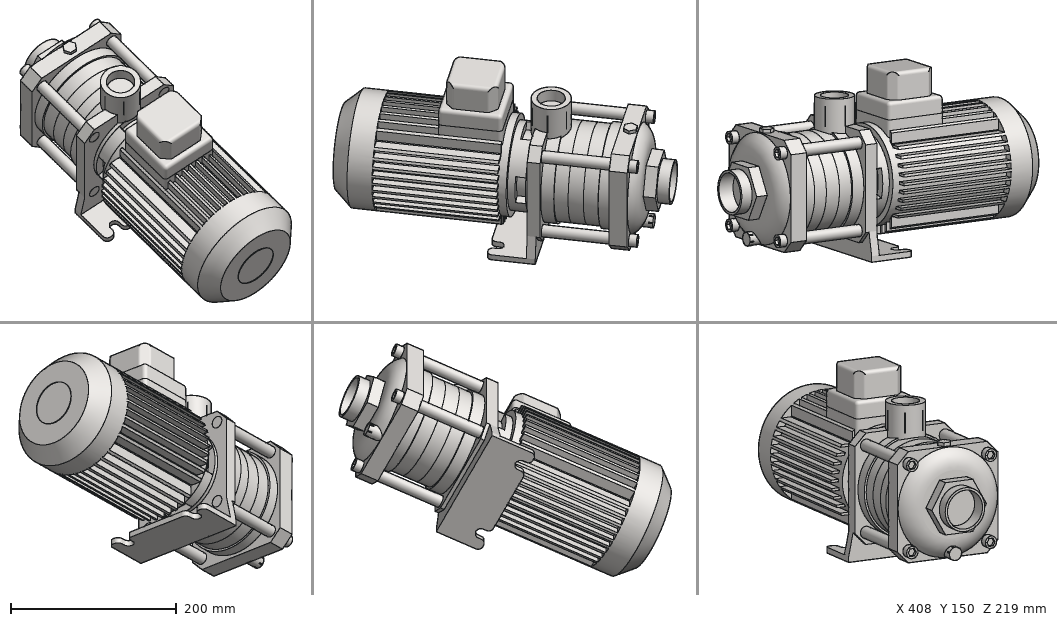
import cadquery as cq
import math


INLET_END = 0.0
INLET_HEX_START = 14.5
DOME_START = 29.8
INLET_PLATE_START = 43.2
INLET_PLATE_END = 65.5
INLET_RING_END = 80.0
FIRST_SEAM = 98.5
SECOND_SEAM = 117.0
OUTLET_RING_START = 134.0
OUTLET_PLATE_START = 150.0
OUTLET_PLATE_END = 166.0
MOTOR_SEAM = 171.0
WINDOW_END = 183.5
MOTOR_FLANGE_START = 193.0
FIN_START = 202.7
FIN_END = 355.5
COWL_TAPER_START = 386.3
COWL_END = 407.0
MOTOR_END = 408.0

STAGE_DIAMETER = 125.0
END_RING_DIAMETER = 130.0
SPIGOT_DIAMETER = 110.0
PLATE_SIDE = 138.3
PLATE_CHAMFER = 15.0

NIPPLE_DIAMETER = 54.3
INLET_BORE = 48.0
INLET_BORE_DEPTH = 20.0
INLET_HEX_FLATS = 65.0
DOME_FLAT_RADIUS = 42.5
DOME_ARC_RADIUS = 31.5

PORT_X = 149.5
PORT_DIAMETER = 48.5
PORT_BORE = 34.0
PORT_BORE_DEPTH = 15.5
PORT_TOP = 103.0
PORT_HEX_TOP = 94.0
PORT_HEX_CORNERS = 49.0

PLUG_HEX_CORNERS = 17.5
VENT_X = 52.5
VENT_HEIGHT = 4.5
DRAIN_START = 23.5
DRAIN_HEX_HEIGHT = 5.5
DRAIN_DROP = 60.0
DRAIN_COLLAR_DIAMETER = 16.7
DRAIN_TURN = 15.0

BOLT_SPACING = 108.0
ROD_DIAMETER = 15.0
BOLT_HEAD_DIAMETER = 15.5
BOLT_HEAD_START = 33.5
SOCKET_CORNERS = 11.0
SOCKET_DEPTH = 4.0

FOOT_START = 155.0
FOOT_END = 214.5
FOOT_WIDTH = 150.0
FOOT_BOTTOM = -90.0
FOOT_THICKNESS = 7.5
FOOT_SLOT_WIDTH = 13.5
FOOT_SLOT_SPACING = 106.5
FOOT_SLOT_DEPTH = 17.0
FOOT_ROUND = 6.5

MOTOR_DIAMETER = 146.0
CORE_DIAMETER = 126.0
FIN_THICKNESS = 3.3
FIN_PITCH = 10.5
FINS_PER_SIDE = 9
COWL_END_DIAMETER = 108.5
END_DISC_DIAMETER = 54.3
WINDOW_COUNT = 4
WINDOW_HALF_ANGLE = 20.0
WINDOW_FLOOR_RADIUS = 45.0

BOX_END = 281.5
BOX_WIDTH = 76.5
BOX_ROUND = 5.0
BOX_SEAM = MOTOR_DIAMETER / 2
BOX_TOP = 94.5
CAP_START = 210.5
CAP_END = 274.0
CAP_WIDTH = 65.0
CAP_TOP = 129.0
CAP_CHAMFER = 9.8
CAP_EDGE_ROUND = 3.5


def shaft_plane(x, turn=0.0):
    """Plane across the shaft, with local x along +Y and local y along +Z."""
    return cq.Workplane("YZ", origin=(x, 0, 0)).transformed(rotate=(0, 0, turn))


def disc(start, end, diameter):
    return shaft_plane(start).circle(diameter / 2).extrude(end - start)


def end_plate(start, end):
    plate = shaft_plane(start).rect(PLATE_SIDE, PLATE_SIDE).extrude(end - start)
    return plate.edges("|X").chamfer(PLATE_CHAMFER)


def bolt_points(plane):
    return plane.rect(BOLT_SPACING, BOLT_SPACING, forConstruction=True).vertices()


def rod_holes(start, end):
    return bolt_points(shaft_plane(start)).circle(ROD_DIAMETER / 2).extrude(end - start)



def dome():
    depth = INLET_PLATE_START - DOME_START
    rise = math.sqrt(DOME_ARC_RADIUS**2 - (DOME_ARC_RADIUS - depth) ** 2)
    half_angle = math.asin(rise / DOME_ARC_RADIUS) / 2
    middle = (
        DOME_START + DOME_ARC_RADIUS * (1 - math.cos(half_angle)),
        DOME_FLAT_RADIUS + DOME_ARC_RADIUS * math.sin(half_angle),
    )
    profile = (
        cq.Workplane("XY")
        .moveTo(DOME_START, 0)
        .lineTo(DOME_START, DOME_FLAT_RADIUS)
        .threePointArc(middle, (INLET_PLATE_START, DOME_FLAT_RADIUS + rise))
        .lineTo(INLET_PLATE_START, 0)
        .close()
    )
    return profile.revolve(360, (0, 0, 0), (1, 0, 0))


def inlet_nipple():
    hexagon_corners = INLET_HEX_FLATS / math.cos(math.pi / 6)
    hexagon = (
        shaft_plane(INLET_HEX_START)
        .polygon(6, hexagon_corners)
        .extrude(DOME_START - INLET_HEX_START)
    )
    return disc(INLET_END, INLET_HEX_START, NIPPLE_DIAMETER).union(hexagon)


def vent_plug():
    return (
        cq.Workplane("XY", origin=(VENT_X, 0, PLATE_SIDE / 2))
        .transformed(rotate=(0, 0, 90))
        .polygon(6, PLUG_HEX_CORNERS)
        .extrude(VENT_HEIGHT)
    )


def drain_plug():
    hexagon = shaft_plane(DRAIN_START, DRAIN_TURN).polygon(6, PLUG_HEX_CORNERS).extrude(DRAIN_HEX_HEIGHT)
    collar = disc(DRAIN_START, INLET_PLATE_START, DRAIN_COLLAR_DIAMETER)
    return hexagon.union(collar).translate((0, 0, -DRAIN_DROP))


def make_inlet_head():
    head = (
        end_plate(INLET_PLATE_START, INLET_PLATE_END)
        .union(dome())
        .union(inlet_nipple())
        .union(vent_plug())
        .union(drain_plug())
        .union(disc(INLET_PLATE_END, INLET_RING_END, END_RING_DIAMETER))
        .union(disc(INLET_RING_END, FIRST_SEAM, STAGE_DIAMETER))
    )
    bore = disc(INLET_END, INLET_END + INLET_BORE_DEPTH, INLET_BORE)
    return head.cut(bore).cut(rod_holes(INLET_PLATE_START, INLET_PLATE_END))



def make_middle_stage():
    return disc(FIRST_SEAM, SECOND_SEAM, STAGE_DIAMETER)



def outlet_port():
    """Upright pipe with a hexagon on its lower half, rising from the shaft axis and clear of the lantern."""
    hexagon = (
        cq.Workplane("XY", origin=(PORT_X, 0, PLATE_SIDE / 2))
        .transformed(rotate=(0, 0, 30))
        .polygon(6, PORT_HEX_CORNERS)
        .extrude(PORT_HEX_TOP - PLATE_SIDE / 2)
    )
    pipe = cq.Workplane("XY", origin=(PORT_X, 0, 0)).circle(PORT_DIAMETER / 2).extrude(PORT_TOP)
    lantern_clearance = disc(MOTOR_SEAM, MOTOR_FLANGE_START, SPIGOT_DIAMETER)
    return pipe.union(hexagon).cut(lantern_clearance)


def foot():
    base_top = FOOT_BOTTOM + FOOT_THICKNESS
    shoulder = -(PLATE_SIDE / 2 - PLATE_CHAMFER)
    web = (
        shaft_plane(FOOT_START)
        .polyline([
            (-PLATE_SIDE / 2, shoulder),
            (PLATE_SIDE / 2, shoulder),
            (FOOT_WIDTH / 2, base_top),
            (-FOOT_WIDTH / 2, base_top),
        ])
        .close()
        .extrude(OUTLET_PLATE_END - FOOT_START)
    )
    base = (
        cq.Workplane("XY", origin=(FOOT_START, 0, FOOT_BOTTOM))
        .box(FOOT_END - FOOT_START, FOOT_WIDTH, FOOT_THICKNESS, centered=(False, True, False))
    )
    slots = (
        cq.Workplane("XY", origin=(FOOT_END, 0, FOOT_BOTTOM))
        .pushPoints([(0, -FOOT_SLOT_SPACING / 2), (0, FOOT_SLOT_SPACING / 2)])
        .slot2D(2 * FOOT_SLOT_DEPTH, FOOT_SLOT_WIDTH)
        .extrude(FOOT_THICKNESS)
    )
    base = base.cut(slots).edges("|Z and >X").fillet(FOOT_ROUND)
    return base.union(web)


def make_outlet_casing():
    casing = (
        disc(SECOND_SEAM, OUTLET_RING_START, STAGE_DIAMETER)
        .union(disc(OUTLET_RING_START, OUTLET_PLATE_START, END_RING_DIAMETER))
        .union(end_plate(OUTLET_PLATE_START, OUTLET_PLATE_END))
        .union(disc(OUTLET_PLATE_END, MOTOR_SEAM, SPIGOT_DIAMETER))
        .union(outlet_port())
        .union(foot())
    )
    bore = (
        cq.Workplane("XY", origin=(PORT_X, 0, PORT_TOP))
        .circle(PORT_BORE / 2)
        .extrude(-PORT_BORE_DEPTH)
    )
    return casing.cut(bore).cut(rod_holes(OUTLET_PLATE_START, OUTLET_PLATE_END))



def make_tie_bolt(y, z):
    head = disc(BOLT_HEAD_START, INLET_PLATE_START, BOLT_HEAD_DIAMETER)
    rod = disc(INLET_PLATE_START, OUTLET_PLATE_END, ROD_DIAMETER)
    socket = shaft_plane(BOLT_HEAD_START).polygon(6, SOCKET_CORNERS).extrude(SOCKET_DEPTH)
    return head.union(rod).cut(socket).translate((0, y, z))



def lantern_window():
    """Sector of the lantern wall cut away on the +Y side."""
    reach = SPIGOT_DIAMETER
    spread = reach * math.tan(math.radians(WINDOW_HALF_ANGLE))
    sector = (
        shaft_plane(MOTOR_SEAM)
        .polyline([(0, 0), (reach, -spread), (reach, spread)])
        .close()
        .extrude(WINDOW_END - MOTOR_SEAM)
    )
    return sector.cut(disc(MOTOR_SEAM, WINDOW_END, 2 * WINDOW_FLOOR_RADIUS))


def lantern():
    body = disc(MOTOR_SEAM, MOTOR_FLANGE_START, SPIGOT_DIAMETER)
    for i in range(WINDOW_COUNT):
        turn = i * 360 / WINDOW_COUNT
        body = body.cut(lantern_window().rotate((0, 0, 0), (1, 0, 0), turn))
    return body


def fins():
    """Level fins and upright fins, trimmed to the motor diameter."""
    length = FIN_END - FIN_START
    middle = (FINS_PER_SIDE - 1) / 2
    offsets = [(i - middle) * FIN_PITCH for i in range(FINS_PER_SIDE)]
    level = (
        shaft_plane(FIN_START)
        .pushPoints([(0, offset) for offset in offsets])
        .rect(MOTOR_DIAMETER, FIN_THICKNESS)
        .extrude(length)
    )
    upright = level.rotate((0, 0, 0), (1, 0, 0), 90)
    return level.union(upright).intersect(disc(FIN_START, FIN_END, MOTOR_DIAMETER))


def cowl():
    taper = (
        shaft_plane(COWL_TAPER_START)
        .circle(MOTOR_DIAMETER / 2)
        .workplane(offset=COWL_END - COWL_TAPER_START)
        .circle(COWL_END_DIAMETER / 2)
        .loft()
    )
    return (
        disc(FIN_END, COWL_TAPER_START, MOTOR_DIAMETER)
        .union(taper)
        .union(disc(COWL_END, MOTOR_END, END_DISC_DIAMETER))
    )


def box_block(bottom, top):
    """Part of the terminal box between two heights, with rounded upright edges."""
    length = BOX_END - FIN_START
    block = (
        cq.Workplane("XY", origin=(FIN_START + length / 2, 0, bottom))
        .rect(length, BOX_WIDTH)
        .extrude(top - bottom)
    )
    return block.edges("|Z").fillet(BOX_ROUND)


def make_motor():
    """Motor in one piece with the base of its terminal box, which is sunk into the core."""
    return (
        lantern()
        .union(disc(MOTOR_FLANGE_START, FIN_END, CORE_DIAMETER))
        .union(fins())
        .union(cowl())
        .union(box_block(0, BOX_SEAM))
    )



def cap_block():
    length = CAP_END - CAP_START
    return (
        cq.Workplane("XY", origin=(CAP_START + length / 2, 0, BOX_TOP))
        .rect(length, CAP_WIDTH)
        .extrude(CAP_TOP - BOX_TOP)
    )


def lid_cap():
    """Cap with a rounded top, trimmed by cut corners that are rounded themselves."""
    cut_corners = cap_block().edges("|Z").chamfer(CAP_CHAMFER).edges("|Z").fillet(CAP_EDGE_ROUND)
    return cap_block().faces(">Z").edges().fillet(BOX_ROUND).intersect(cut_corners)


def make_box_lid():
    lid = box_block(BOX_SEAM, BOX_TOP).faces(">Z").edges().fillet(BOX_ROUND)
    return lid.union(lid_cap())


inlet_head = make_inlet_head()
middle_stage = make_middle_stage()
outlet_casing = make_outlet_casing()
motor = make_motor()
box_lid = make_box_lid()

tie_bolts = []
for y_side in (-1, 1):
    for z_side in (-1, 1):
        bolt = make_tie_bolt(y_side * BOLT_SPACING / 2, z_side * BOLT_SPACING / 2)
        tie_bolts.append(bolt.solids().val())

result = cq.Compound.makeCompound([
    inlet_head.solids().val(),
    middle_stage.solids().val(),
    outlet_casing.solids().val(),
    motor.solids().val(),
    box_lid.solids().val(),
    *tie_bolts,
])